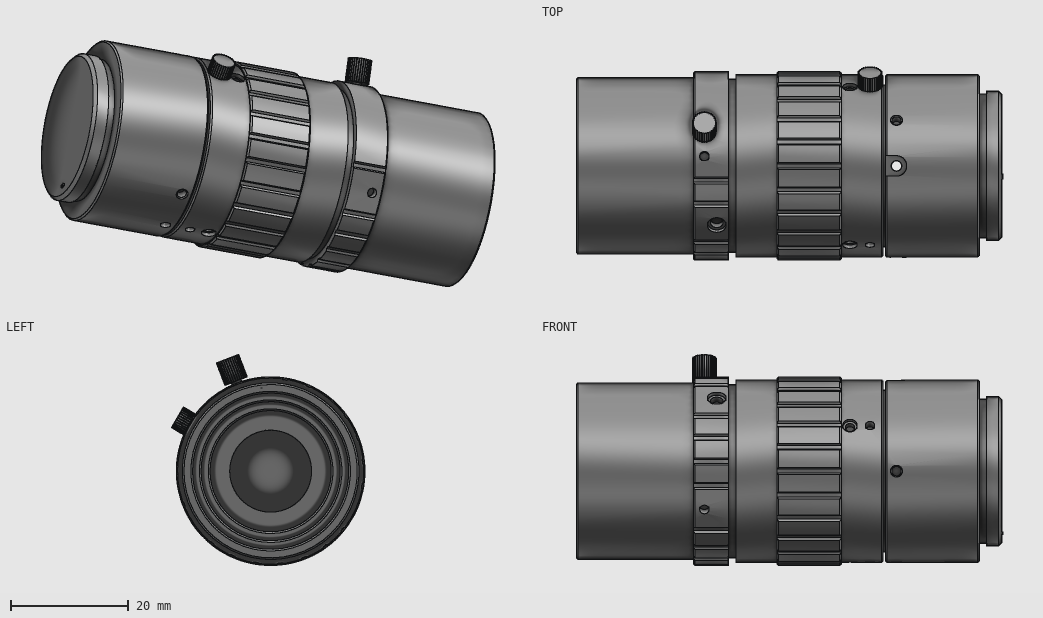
import cadquery as cq
import math

MARGIN = 0.7

tube_radius = 15.0
aperture_ring_start = 19.9
aperture_ring_end = 25.8
neck_radius = 14.7
barrel_start = 27.1
barrel_radius = 15.5
grip_start = 34.1
grip_end = 45.0
grip_radius = 16.0
barrel_end = 52.1
hub_radius = 13.8
edge_chamfer = 0.3
ring_chamfer = 0.2

front_bore_radius = 13.3
relief_start = 5.1
relief_radius = 13.55
front_bore_depth = 5.95
second_bore_radius = 11.8
second_bore_depth = 11.1
third_bore_radius = 10.3
third_bore_depth = 21.75
mouth_chamfer = 0.3
rear_bore_radius = 6.95

mount_start = 52.5
mount_end = 68.4
thread_start = 69.65
thread_radius = 12.7
thread_relief_radius = 12.25
thread_chamfer = 0.6
nub_height = 0.2
overall_length = 72.5
mount_rear = overall_length - nub_height
nub_width = 0.9
nub_thickness = 0.4
nub_y = -1.8
nub_z = -10.5

groove_pitch = 15
groove_width = 1.2
groove_floor_width = 0.65
groove_depth = 0.35
ring_grub_angle = 84
ring_knob_angle = ring_grub_angle - groove_pitch
ring_groove_first = ring_grub_angle + groove_pitch
ring_groove_last = 339

ring_grub_x = 21.75
ring_lock_x = 23.85
ring_lock_angle = ring_knob_angle + 60
ring_lock_radius = 1.1
ring_lock_recess_radius = 1.6
barrel_lock_x = 46.5
barrel_lock_radius = 0.8
barrel_lock_recess_radius = 1.2
barrel_grub_x = 49.9
grub_radius = 0.8
grub_depth = 1.8
recess_depth = 0.7
lock_depth = 1.8
mount_hole_x = 54.4
mount_hole_radius = 0.9
mount_grub_sink = 0.2
mount_grub_angle = 60
pocket_radius = 1.75
pocket_depth = 0.7

knob_radius = 2.0
stem_radius = 0.9
ring_knob_bottom = 16.4
ring_knob_top = 20.45
barrel_knob_angle = 30
barrel_knob_bottom = 15.65
barrel_knob_top = 18.3
flute_count = 32
flute_offset = 180 / flute_count
flute_radius = 0.15


def thirds(first_angle):
    """Three directions 120 degrees apart."""
    return [first_angle + 120 * i for i in range(3)]


def turned(x_start, x_end, radius):
    """Cylinder about the X axis."""
    return cq.Workplane("YZ", origin=(x_start, 0, 0)).circle(radius).extrude(x_end - x_start)


def radial_plane(x, angle, distance):
    """Workplane that faces outward at the given place; its local X runs along the lens."""
    y = math.cos(math.radians(angle))
    z = math.sin(math.radians(angle))
    return cq.Workplane(cq.Plane((x, distance * y, distance * z), (1, 0, 0), (0, y, z)))


def radial_hole(x, angle, radius, surface_radius, depth):
    """Tool for a round hole drilled inward from a turned surface."""
    plane = radial_plane(x, angle, surface_radius - depth)
    return plane.circle(radius).extrude(depth + MARGIN)


def countersink(x, angle, radius, surface_radius, depth):
    """Tool for a 45 degree countersink around a radial hole."""
    return (
        radial_plane(x, angle, surface_radius - depth)
        .circle(radius)
        .workplane(offset=depth)
        .circle(radius + depth)
        .loft()
    )


def groove(x_start, x_end, angle):
    """Tool for a straight groove along the grip surface, with sloping walls."""
    plane = radial_plane(x_start, angle, grip_radius - groove_depth).plane
    cross_section = cq.Workplane(cq.Plane(plane.origin, plane.yDir, plane.xDir))
    slope = (groove_width - groove_floor_width) / 2 / groove_depth
    half_floor = groove_floor_width / 2
    height = groove_depth + MARGIN
    half_top = half_floor + slope * height
    outline = [(-half_floor, 0), (half_floor, 0), (half_top, height), (-half_top, height)]
    return cross_section.polyline(outline).close().extrude(x_end - x_start)


def thumb_screw(x, angle, bottom, top, root):
    """Fluted knob on a plain stem that starts at the root radius."""
    knob = radial_plane(x, angle, bottom).circle(knob_radius).extrude(top - bottom)
    flutes = (
        radial_plane(x, angle, bottom)
        .polarArray(knob_radius, flute_offset, 360, flute_count)
        .circle(flute_radius)
        .extrude(top - bottom)
    )
    stem = radial_plane(x, angle, root).circle(stem_radius).extrude(bottom - root)
    return knob.cut(flutes).union(stem)


def barrel_blank():
    """Front tube, aperture ring, neck, barrel, focus grip and rear hub."""
    tube = turned(0, aperture_ring_start, tube_radius).faces("<X").chamfer(edge_chamfer)
    ring = turned(aperture_ring_start, aperture_ring_end, grip_radius).faces("<X").chamfer(ring_chamfer)
    neck = turned(aperture_ring_end, barrel_start, neck_radius)
    body = turned(barrel_start, barrel_end, barrel_radius).faces(">X").chamfer(edge_chamfer)
    grip = turned(grip_start, grip_end, grip_radius).faces("<X or >X").chamfer(edge_chamfer)
    hub = turned(barrel_end, mount_start, hub_radius)
    return tube.union(ring).union(neck).union(body).union(grip).union(hub)


def bore_mouth(x, radius):
    """Tool for the chamfer at the mouth of a bore."""
    outline = [(x, 0), (x, radius + mouth_chamfer), (x + mouth_chamfer, radius), (x + mouth_chamfer, 0)]
    return cq.Workplane("XY").polyline(outline).close().revolve(360, (0, 0), (1, 0))


def barrel_bore():
    """Stepped bore with chamfered mouths and a relief groove at the end of the front step."""
    bore = turned(0, mount_start, rear_bore_radius)
    bore = bore.union(turned(relief_start, front_bore_depth, relief_radius))
    steps = [
        (0, front_bore_depth, front_bore_radius),
        (front_bore_depth, second_bore_depth, second_bore_radius),
        (second_bore_depth, third_bore_depth, third_bore_radius),
    ]
    for start, end, radius in steps:
        bore = bore.union(turned(start, end, radius)).union(bore_mouth(start, radius))
    return bore


def make_barrel():
    """Front body of the lens, with its rings and thumb screws."""
    barrel = barrel_blank().cut(barrel_bore())

    for i in range(360 // groove_pitch):
        barrel = barrel.cut(groove(grip_start, grip_end, i * groove_pitch))
    ring_plain = [ring_lock_angle, *thirds(ring_grub_angle)]
    for angle in range(ring_groove_first, ring_groove_last + 1, groove_pitch):
        if angle not in ring_plain:
            barrel = barrel.cut(groove(aperture_ring_start, aperture_ring_end, angle))

    for angle in thirds(ring_grub_angle):
        barrel = barrel.cut(radial_hole(ring_grub_x, angle, grub_radius, grip_radius, grub_depth))
    barrel = barrel.cut(
        radial_hole(ring_lock_x, ring_lock_angle, ring_lock_recess_radius, grip_radius, recess_depth))
    barrel = barrel.cut(
        radial_hole(ring_lock_x, ring_lock_angle, ring_lock_radius, grip_radius, lock_depth))

    for angle in thirds(barrel_knob_angle):
        barrel = barrel.cut(
            radial_hole(barrel_lock_x, angle, barrel_lock_recess_radius, barrel_radius, recess_depth))
        barrel = barrel.cut(
            radial_hole(barrel_lock_x, angle, barrel_lock_radius, barrel_radius, lock_depth))
        if angle != barrel_knob_angle:
            barrel = barrel.cut(
                radial_hole(barrel_grub_x, angle, grub_radius, barrel_radius, grub_depth))

    ring_screw = thumb_screw(ring_grub_x, ring_knob_angle, ring_knob_bottom, ring_knob_top, neck_radius)
    barrel_screw = thumb_screw(
        barrel_grub_x, barrel_knob_angle, barrel_knob_bottom, barrel_knob_top, hub_radius)
    return barrel.union(ring_screw).union(barrel_screw)


def make_mount():
    """Rear body of the lens, which ends in the camera thread."""
    mount = turned(mount_start, mount_end, barrel_radius).faces("<X or >X").chamfer(edge_chamfer)
    relief = turned(mount_end, thread_start, thread_relief_radius)
    thread = turned(thread_start, mount_rear, thread_radius).faces(">X").chamfer(thread_chamfer)
    nub_plane = cq.Workplane("YZ", origin=(mount_rear, nub_y, nub_z))
    nub = nub_plane.rect(nub_width, nub_thickness).extrude(nub_height)
    mount = mount.union(relief).union(thread).union(nub)
    mount = mount.cut(turned(mount_start, mount_end, rear_bore_radius))

    for angle in thirds(mount_grub_angle):
        mount = mount.cut(
            radial_hole(mount_hole_x, angle, grub_radius, barrel_radius, grub_depth))
        mount = mount.cut(countersink(mount_hole_x, angle, grub_radius, barrel_radius, mount_grub_sink))
    sight_hole = (
        cq.Workplane("XY", origin=(mount_hole_x, 0, 0))
        .circle(mount_hole_radius)
        .extrude(barrel_radius + MARGIN, both=True)
    )
    pocket_plane = cq.Workplane("XY", origin=(mount_hole_x, 0, barrel_radius - pocket_depth))
    front_reach = mount_hole_x - mount_start + MARGIN
    pocket = (
        pocket_plane.circle(pocket_radius).extrude(pocket_depth + MARGIN)
        .union(
            pocket_plane.center(-front_reach / 2, 0)
            .rect(front_reach, 2 * pocket_radius)
            .extrude(pocket_depth + MARGIN)
        )
    )
    return mount.cut(sight_hole).cut(pocket)


barrel = make_barrel()
mount = make_mount()
result = cq.Compound.makeCompound([barrel.val(), mount.val()])